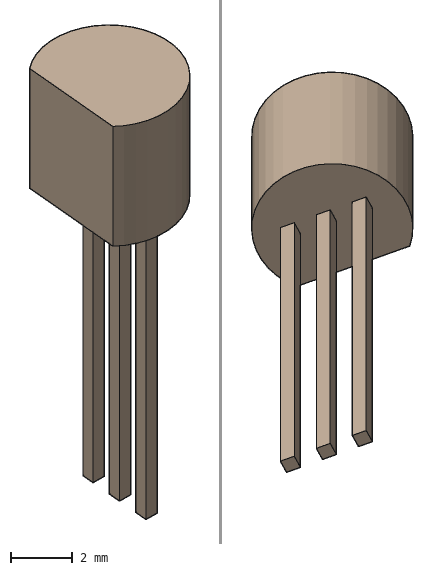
import cadquery as cq
import math

total_height = 17.7
body_width = 5.2
body_depth = 4.27
body_height = 5.0

full_facet_count = 40

lead_count = 3
lead_side = 0.5
lead_pitch = 1.27

lead_length = total_height - body_height
back_y = body_width / 2
front_y = back_y - body_depth
lead_y = (back_y + front_y) / 2


def faceted_body():
    """Faceted round case with one broad flat cut on its front side."""
    facet_angle = 2 * math.pi / full_facet_count
    corner_radius = body_width / 2 / math.cos(facet_angle / 2)
    corner_angles = [(i + 0.5) * facet_angle for i in range(full_facet_count)]
    corners = [(corner_radius * math.cos(a), corner_radius * math.sin(a)) for a in corner_angles]
    prism = cq.Workplane("XY").polyline(corners).close().extrude(body_height)
    kept_space = (
        cq.Workplane("XY")
        .center(0, lead_y)
        .rect(body_width, body_depth)
        .extrude(body_height)
    )
    return prism.intersect(kept_space)


def leads():
    """Row of square leads hanging from the underside of the body."""
    first_x = -lead_pitch * (lead_count - 1) / 2
    centers = [(first_x + i * lead_pitch, lead_y) for i in range(lead_count)]
    return (
        cq.Workplane("XY")
        .pushPoints(centers)
        .rect(lead_side, lead_side)
        .extrude(-lead_length)
    )


result = faceted_body().union(leads())